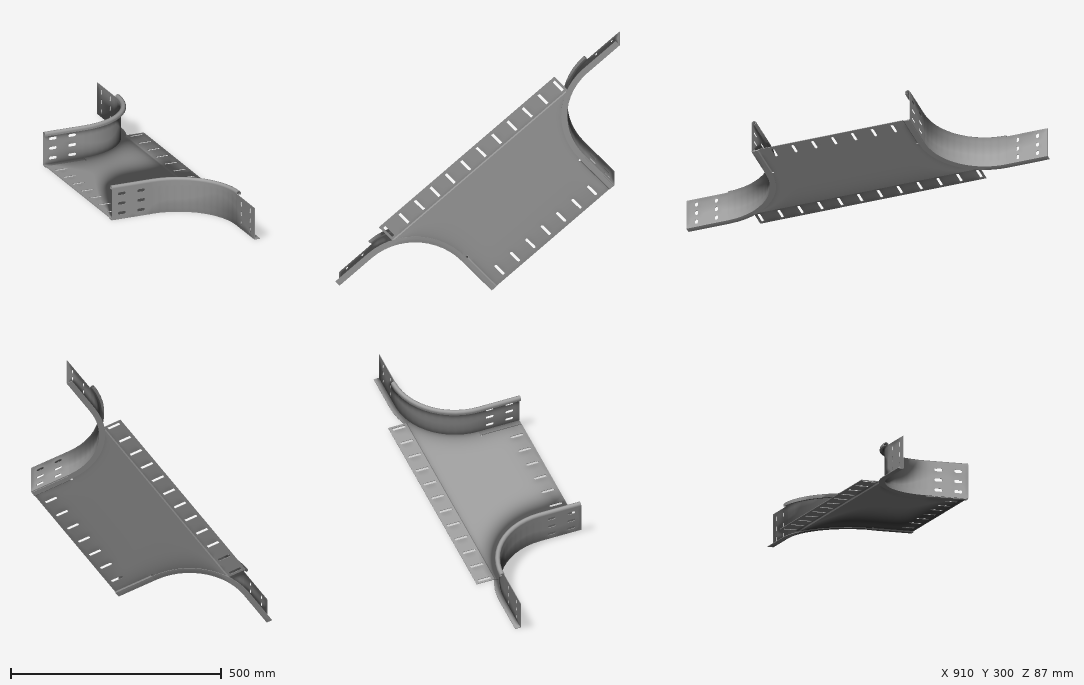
import cadquery as cq
import math


length = 910.0
depth = 300.0
height = 87.0
sheet = 1.4
tray_width = 399.5
bend_radius = 150.0
half_length = length / 2
half_depth = depth / 2
leg_x = -tray_width / 2
bend_x = leg_x - bend_radius
arm_length = half_length + bend_x
bend_y = arm_length - half_depth
arm_y = bend_y + bend_radius

flange_z = sheet
floor_z = flange_z + sheet
step_rise = 2 * sheet
step_angle = 45.0

flange_width = 15.0
roll_radius = 6.2
roll_lip = 4.0
roll_return = 5.0
web_top = height - roll_radius

edge_inset = 3.0
leg_step_x = leg_x + flange_width
rear_step_y = 102.0
rear_half_length = 285.0
relief_depth = 20.0
relief_width = 5.0

slot_pitch = 50.0
slot_width = 7.0
plate_slot_length = 32.0
front_slot_count = 7
front_slot_y = -125.0
rear_slot_count = 12
rear_slot_y = 126.5
wall_slot_columns = 2
wall_slot_inset = 25.5
wall_slot_heights = (16.0, 41.0, 65.5)
arm_slot_length = 13.0
leg_slot_length = 20.0


def wall_section(plane, rolled):
    """Closed wall section: x runs inwards from the outer face, y is the height."""
    roll_inner = roll_radius - sheet
    lip_outer = 2 * roll_radius
    lip_inner = lip_outer - sheet
    lip_end = web_top - roll_lip
    section = (
        cq.Workplane(plane)
        .moveTo(0, flange_z)
        .lineTo(flange_width, flange_z)
        .lineTo(flange_width, floor_z)
        .lineTo(sheet, floor_z)
        .lineTo(sheet, web_top)
    )
    if rolled:
        section = (
            section.threePointArc((roll_radius, web_top + roll_inner), (lip_inner, web_top))
            .lineTo(lip_inner, lip_end + sheet)
            .lineTo(lip_inner - roll_return, lip_end + sheet)
            .lineTo(lip_inner - roll_return, lip_end)
            .lineTo(lip_outer, lip_end)
            .lineTo(lip_outer, web_top)
            .threePointArc((roll_radius, height), (0, web_top))
        )
    else:
        section = section.lineTo(0, web_top)
    return section.close()


def wall_slots(plane, slot_length, angle):
    """Cutters for the grid of slots near one wall end; the plane's x runs along the wall."""
    columns = [wall_slot_inset + i * slot_pitch for i in range(wall_slot_columns)]
    centres = [(along, z) for along in columns for z in wall_slot_heights]
    return (
        cq.Workplane(plane)
        .pushPoints(centres)
        .slot2D(slot_length, slot_width, angle)
        .extrude(sheet, both=True)
    )


def left_wall():
    """Leg and bend with a rolled top edge, and an arm with a plain one."""
    bend_plane = cq.Plane(origin=(leg_x, bend_y, 0), xDir=(1, 0, 0), normal=(0, -1, 0))
    arm_plane = cq.Plane(origin=(-half_length, arm_y, 0), xDir=(0, 1, 0), normal=(1, 0, 0))
    leg = wall_section(bend_plane, True).extrude(arm_length)
    bend = wall_section(bend_plane, True).revolve(90, (-bend_radius, 0), (-bend_radius, 1))
    arm = wall_section(arm_plane, False).extrude(arm_length)

    arm_face = cq.Plane(origin=(-half_length, arm_y, 0), xDir=(1, 0, 0), normal=(0, -1, 0))
    leg_face = cq.Plane(origin=(leg_x, -half_depth, 0), xDir=(0, 1, 0), normal=(1, 0, 0))
    return (
        leg.union(bend)
        .union(arm)
        .cut(wall_slots(arm_face, arm_slot_length, 90))
        .cut(wall_slots(leg_face, leg_slot_length, 0))
    )


def stepped_strip(plane, low_z, low_end, foot, high_end, run):
    """Sheet that climbs one sloping step between two levels, extruded by run."""
    half_turn = math.radians(step_angle / 2)
    step_shift = sheet * math.tan(half_turn)
    high_z = low_z + step_rise
    head = foot + step_rise / math.tan(math.radians(step_angle))
    outline = [
        (low_end, low_z),
        (foot + step_shift, low_z),
        (head + step_shift, high_z),
        (high_end, high_z),
        (high_end, high_z + sheet),
        (head, high_z + sheet),
        (foot, low_z + sheet),
        (low_end, low_z + sheet),
    ]
    return cq.Workplane(plane).polyline(outline).close().extrude(run)


def plate_floor():
    """Flat middle of the plate, which follows the two bends."""
    floor_side_x = -(leg_x + relief_depth)
    edge_x = -(leg_x + edge_inset)
    edge_radius = bend_radius + edge_inset
    axis_x = -bend_x
    rear_angle = math.acos((axis_x - rear_half_length) / edge_radius)
    corner_y = bend_y + edge_radius * math.sin(rear_angle)
    middle = (
        axis_x - edge_radius * math.cos(rear_angle / 2),
        bend_y + edge_radius * math.sin(rear_angle / 2),
    )
    half = (
        cq.Workplane("XY", origin=(0, 0, floor_z))
        .moveTo(0, -half_depth)
        .lineTo(floor_side_x, -half_depth)
        .lineTo(floor_side_x, bend_y)
        .lineTo(edge_x, bend_y)
        .threePointArc(middle, (rear_half_length, corner_y))
        .lineTo(rear_half_length, rear_step_y)
        .lineTo(0, rear_step_y)
        .close()
        .extrude(sheet)
    )
    return half.union(half.mirror("YZ"))


def plate_slots():
    """Rounded slots along the front edge and square-ended slots in the rear strip."""
    front = (
        cq.Workplane("XY", origin=(0, front_slot_y, 0))
        .rarray(slot_pitch, 9, front_slot_count, 1)
        .slot2D(plate_slot_length, slot_width, 90)
        .extrude(height)
    )
    rear = (
        cq.Workplane("XY", origin=(0, rear_slot_y, 0))
        .rarray(slot_pitch, 9, rear_slot_count, 1)
        .rect(slot_width, plate_slot_length)
        .extrude(height)
    )
    return front.union(rear)


def base_plate():
    """Floor with a raised rear strip and a lowered strip under each leg."""
    rear_plane = cq.Plane(origin=(-rear_half_length, 0, 0), xDir=(0, 1, 0), normal=(1, 0, 0))
    rear = stepped_strip(
        rear_plane, floor_z, rear_step_y - sheet, rear_step_y, half_depth, 2 * rear_half_length
    )
    leg_plane = cq.Plane(origin=(0, bend_y - relief_width, 0), xDir=(1, 0, 0), normal=(0, -1, 0))
    leg = stepped_strip(
        leg_plane, 0, leg_x + edge_inset, leg_step_x, leg_x + relief_depth, arm_length - relief_width
    )
    return plate_floor().union(rear).union(leg).union(leg.mirror("YZ")).cut(plate_slots())


plate = base_plate()
left = left_wall()
right = left.mirror("YZ")
bodies = [plate, left, right]
result = cq.Compound.makeCompound([body.solids().val() for body in bodies])